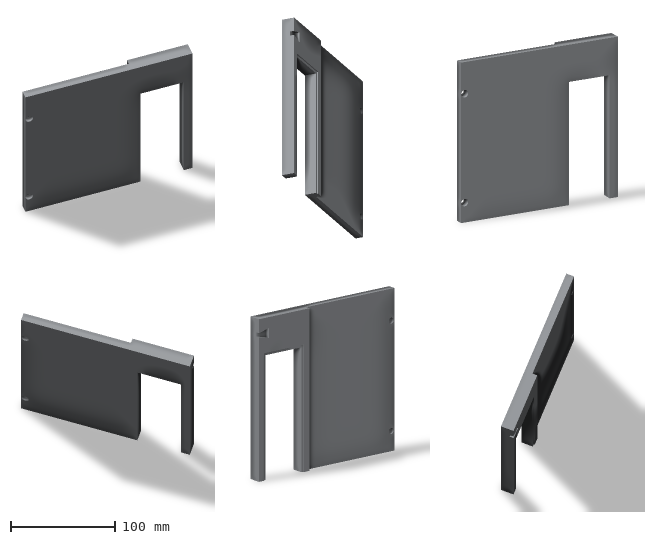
import cadquery as cq

length = 170.0
height = 162.0
thickness = 13.0

step_depth = 5.0
block_length = 61.9
panel_length = length - block_length

opening_width = 44.0
opening_height = 124.5
ledge_width = 2.5
ledge_depth = 1.0
outer_leg_width = 8.8
opening_start_y = length - outer_leg_width - opening_width

notch_depth = 4.0
notch_length = 12.0
notch_mouth = 4.0
notch_inner_width = 10.0
notch_drop = 16.0
notch_center_z = height - notch_drop

hole_diameter = 6.0
counterbore_diameter = 7.5
counterbore_depth = 6.0
counterbore_edge_wall = 0.25
hole_edge_distance = counterbore_diameter / 2 + counterbore_edge_wall
lower_hole_z = 20.0
hole_spacing = 110.0


def stepped_plate():
    """Full-thickness block with a thinner panel flush at the +X face."""
    plate = cq.Workplane("XY").box(thickness, length, height, centered=False)
    step = cq.Workplane("XY").box(step_depth, panel_length, height, centered=False)
    return plate.cut(step)


def opening_cut(margin, depth):
    """Rectangle sunk from the -X face, wider than the opening by margin at the sides and top."""
    return (
        cq.Workplane("XY", origin=(0, opening_start_y - margin, 0))
        .box(depth, opening_width + 2 * margin, opening_height + margin, centered=False)
    )


def ledged_opening():
    """Through opening together with the shallow ledge around it."""
    return opening_cut(0, thickness).union(opening_cut(ledge_width, ledge_depth))


def dovetail_notch():
    """Notch that widens from the +Y edge inwards."""
    inner_y = length - notch_length
    outline = [
        (length, notch_center_z - notch_mouth / 2),
        (length, notch_center_z + notch_mouth / 2),
        (inner_y, notch_center_z + notch_inner_width / 2),
        (inner_y, notch_center_z - notch_inner_width / 2),
    ]
    return cq.Workplane("YZ").polyline(outline).close().extrude(notch_depth)


def screw_hole(z):
    """Through hole with a counterbore sunk into the +X face."""
    shank = (
        cq.Workplane("YZ", origin=(0, hole_edge_distance, z))
        .circle(hole_diameter / 2)
        .extrude(thickness)
    )
    counterbore = (
        cq.Workplane("YZ", origin=(thickness - counterbore_depth, hole_edge_distance, z))
        .circle(counterbore_diameter / 2)
        .extrude(counterbore_depth)
    )
    return shank.union(counterbore)


result = stepped_plate().cut(ledged_opening()).cut(dovetail_notch())
for hole_z in (lower_hole_z, lower_hole_z + hole_spacing):
    result = result.cut(screw_hole(hole_z))